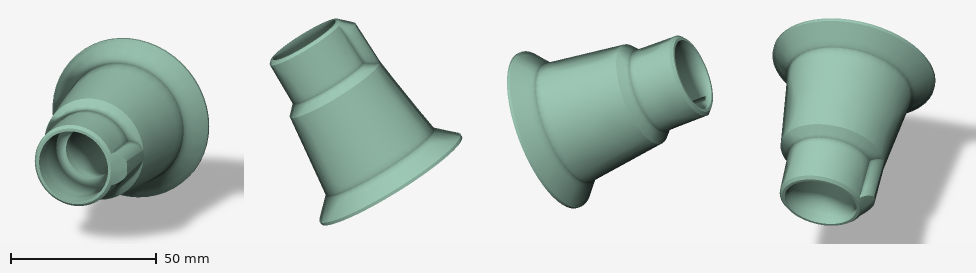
import cadquery as cq

length = 57.4
rim_start = length - 1.1
body_end = 49.8
body_start = 20.1
neck_end = 16.7
mouth_chamfer = 1.0

rim_radius = 28.45
body_large_radius = 21.85
body_small_radius = 18.2
neck_large_radius = 14.9
neck_small_radius = 14.6
mouth_radius = neck_small_radius - mouth_chamfer

socket_radius = 12.6
socket_depth = 16.95
passage_radius = 9.0

rib_offset = 12.75
rib_radius = 5.655
rib_crest_start_radius = 17.95
rib_chamfer = rib_crest_start_radius - mouth_radius
hole_offset = 13.85
hole_radius = 1.6
hole_tip = 2.45


def turned(profile):
    """Revolve a closed (radius, Y) outline about the Y axis."""
    return cq.Workplane("XY").polyline(profile).close().revolve(360, (0, 0, 0), (0, 1, 0))


def rod(x_offset, radius, start, end):
    """Round rod parallel to Y, spanning start to end."""
    rod_plane = cq.Workplane("XZ", origin=(x_offset, start, 0))
    return rod_plane.circle(radius).extrude(start - end)


def make_shell():
    return turned([
        (0, 0),
        (mouth_radius, 0),
        (neck_small_radius, mouth_chamfer),
        (neck_large_radius, neck_end),
        (body_small_radius, body_start),
        (body_large_radius, body_end),
        (rim_radius, rim_start),
        (rim_radius, length),
        (0, length),
    ])


def make_rib():
    envelope = turned([
        (0, 0),
        (mouth_radius, 0),
        (rib_crest_start_radius, rib_chamfer),
        (body_small_radius, body_start),
        (0, body_start),
    ])
    return rod(rib_offset, rib_radius, 0, body_start).intersect(envelope)


socket = rod(0, socket_radius, 0, socket_depth)
passage = rod(0, passage_radius, 0, length)
rib_hole = rod(hole_offset, hole_radius, hole_tip, length)

result = make_shell().union(make_rib()).cut(socket).cut(passage).cut(rib_hole)